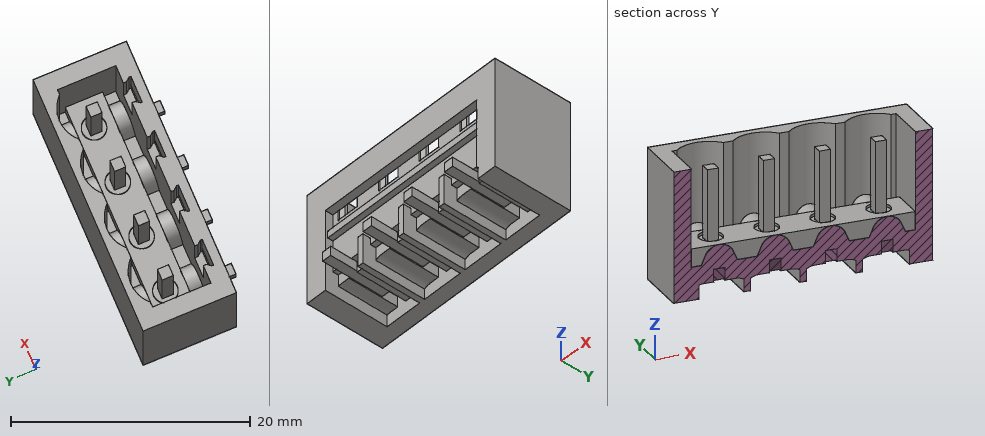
import cadquery as cq
import math


LENGTH = 23.52
DEPTH = 8.5
HEIGHT = 12.0
POSITIONS = 4
PITCH = 5.08
PIN_XS = [(i - (POSITIONS - 1) / 2) * PITCH for i in range(POSITIONS)]
RIB_XS = [(left + right) / 2 for left, right in zip(PIN_XS, PIN_XS[1:])]

CAVITY_LENGTH = POSITIONS * PITCH
CAVITY_FRONT = 1.65
CAVITY_BACK = 6.95
TROUGH_FLOOR = 3.05
LEDGE_TOP = 4.7
LEDGE_FRONT = 2.85
LEDGE_BACK = 6.23
SCALLOP_BACK = 7.83
SCALLOP_HALF_CHORD = 2.1
BUMP_HALF_BASE = 1.65
BUMP_HALF_ARC = 1.27
BUMP_RADIUS = 1.4
COLLAR_DIAMETER = 2.15
COLLAR_DEPTH = 0.24

DOVETAIL_BOTTOM = 7.83
NECK_HALF_WIDTH = 0.92
TAIL_HALF_WIDTH = 1.2
NECK_BACK = 1.36
TAIL_BACK = 1.0

WINDOW_HALF_WIDTH = 9.45
WINDOW_TOP = 8.85
WINDOW_DEPTH = 0.85
SKIRT_BOTTOM = 2.55
LOWER_WINDOW_DEPTH = 1.45
BAR_BOTTOM = 5.95
BAR_TOP = 6.7
BAR_FRONT = 0.25

RIB_WIDTH = 0.6
RIB_TOP = 3.25
BAY_TOP = 1.35
BAY_HALF_FLAT = 1.48
BAY_ROUND = 1.53
BAYS_LEFT = -WINDOW_HALF_WIDTH
BAYS_RIGHT = 9.62

PIN_SIZE = 1.0
PIN_Y = 4.7
PIN_TOP = 11.03
LEG_BOTTOM = 1.48
LEG_REACH = 1.5
LEG_TOP = LEG_BOTTOM + PIN_SIZE


def block(x0, x1, y0, y1, z0, z1):
    """Box given by its limits on each axis."""
    return cq.Workplane("XY").box(x1 - x0, y1 - y0, z1 - z0, centered=False).translate((x0, y0, z0))


def centred_block(x, width, y0, y1, z0, z1):
    """Box centred on x, given by its limits in Y and Z."""
    return block(x - width / 2, x + width / 2, y0, y1, z0, z1)


def along_y(x, y0):
    """XZ sketch plane at y0 with its origin at x; extruding by a negative length goes to +Y."""
    return cq.Workplane("XZ", origin=(x, y0, 0))


def scallop(x):
    """Round bay in the back wall, from the trough floor to the top."""
    sagitta = SCALLOP_BACK - CAVITY_BACK
    radius = (SCALLOP_HALF_CHORD**2 + sagitta**2) / (2 * sagitta)
    full_round = (
        cq.Workplane("XY", origin=(x, SCALLOP_BACK - radius, TROUGH_FLOOR))
        .circle(radius)
        .extrude(HEIGHT - TROUGH_FLOOR)
    )
    behind_wall = centred_block(x, 2 * radius, CAVITY_BACK, DEPTH, TROUGH_FLOOR, HEIGHT)
    return full_round.intersect(behind_wall)


def floor_bump(x):
    """Round-topped bump with straight flanks, running from front to back."""
    arc_angle = math.asin(BUMP_HALF_ARC / BUMP_RADIUS)
    arc_end = LEDGE_TOP - BUMP_RADIUS * (1 - math.cos(arc_angle))
    return (
        along_y(x, CAVITY_FRONT)
        .moveTo(-BUMP_HALF_BASE, TROUGH_FLOOR)
        .lineTo(-BUMP_HALF_ARC, arc_end)
        .threePointArc((0, LEDGE_TOP), (BUMP_HALF_ARC, arc_end))
        .lineTo(BUMP_HALF_BASE, TROUGH_FLOOR)
        .close()
        .extrude(CAVITY_FRONT - SCALLOP_BACK)
    )


def cavity():
    """Space for the plug: scalloped at the back, with a raised ledge and bumps left on its floor."""
    space = centred_block(0, CAVITY_LENGTH, CAVITY_FRONT, CAVITY_BACK, TROUGH_FLOOR, HEIGHT)
    for x in PIN_XS:
        space = space.union(scallop(x))
    for x in PIN_XS:
        space = space.cut(floor_bump(x))
    return space.cut(centred_block(0, CAVITY_LENGTH, LEDGE_FRONT, LEDGE_BACK, TROUGH_FLOOR, LEDGE_TOP))


def dovetail_groove(x):
    """Groove that widens from the cavity toward the front face."""
    return (
        cq.Workplane("XY", origin=(x, 0, DOVETAIL_BOTTOM))
        .polyline([
            (-NECK_HALF_WIDTH, CAVITY_FRONT),
            (-NECK_HALF_WIDTH, NECK_BACK),
            (-TAIL_HALF_WIDTH, TAIL_BACK),
            (-TAIL_HALF_WIDTH, WINDOW_DEPTH),
            (TAIL_HALF_WIDTH, WINDOW_DEPTH),
            (TAIL_HALF_WIDTH, TAIL_BACK),
            (NECK_HALF_WIDTH, NECK_BACK),
            (NECK_HALF_WIDTH, CAVITY_FRONT),
        ])
        .close()
        .extrude(HEIGHT - DOVETAIL_BOTTOM)
    )


def front_window():
    """Stepped recess in the front face, with a bar and the rib fronts left standing in it."""
    width = 2 * WINDOW_HALF_WIDTH
    recess = centred_block(0, width, 0, WINDOW_DEPTH, 0, WINDOW_TOP)
    recess = recess.union(centred_block(0, width, 0, LOWER_WINDOW_DEPTH, 0, SKIRT_BOTTOM))
    recess = recess.cut(centred_block(0, width, BAR_FRONT, WINDOW_DEPTH, BAR_BOTTOM, BAR_TOP))
    for x in RIB_XS:
        recess = recess.cut(centred_block(x, RIB_WIDTH, 0, LOWER_WINDOW_DEPTH, 0, RIB_TOP))
    return recess


def underside_bay(x):
    """Bay open at the bottom and front, its ceiling rounded down toward the ribs."""
    half_width = (PITCH - RIB_WIDTH) / 2
    drop = BAY_ROUND - math.sqrt(BAY_ROUND**2 - (half_width - BAY_HALF_FLAT) ** 2)
    shoulder = BAY_TOP - drop
    bay = (
        along_y(x, 0)
        .moveTo(-half_width, 0)
        .lineTo(-half_width, shoulder)
        .radiusArc((-BAY_HALF_FLAT, BAY_TOP), BAY_ROUND)
        .lineTo(BAY_HALF_FLAT, BAY_TOP)
        .radiusArc((half_width, shoulder), BAY_ROUND)
        .lineTo(half_width, 0)
        .close()
        .extrude(-CAVITY_BACK)
    )
    return bay.intersect(block(BAYS_LEFT, BAYS_RIGHT, 0, CAVITY_BACK, 0, BAY_TOP))


def pin_passage(x):
    """Square hole for the upright of a pin, and a slot for its leg, open below and run to the back wall."""
    upright = centred_block(x, PIN_SIZE, PIN_Y - PIN_SIZE / 2, PIN_Y + PIN_SIZE / 2, 0, LEDGE_TOP)
    leg_slot = centred_block(x, PIN_SIZE, 0, CAVITY_BACK, 0, LEG_TOP)
    return upright.union(leg_slot)


def collar_recess(x):
    """Shallow round recess in the ledge about a pin."""
    return (
        cq.Workplane("XY", origin=(x, PIN_Y, LEDGE_TOP - COLLAR_DEPTH))
        .circle(COLLAR_DIAMETER / 2)
        .extrude(COLLAR_DEPTH)
    )


def make_housing():
    body = centred_block(0, LENGTH, 0, DEPTH, 0, HEIGHT)
    body = body.cut(cavity()).cut(front_window())
    for x in PIN_XS:
        body = body.cut(dovetail_groove(x))
        body = body.cut(underside_bay(x))
        body = body.cut(pin_passage(x))
        body = body.cut(collar_recess(x))
    return body


def make_pin(x):
    """L-shaped square pin: an upright in the cavity and a leg out of the front."""
    back = PIN_Y + PIN_SIZE / 2
    upright = centred_block(x, PIN_SIZE, back - PIN_SIZE, back, LEG_BOTTOM, PIN_TOP)
    leg = centred_block(x, PIN_SIZE, -LEG_REACH, back, LEG_BOTTOM, LEG_TOP)
    return upright.union(leg)


housing = make_housing()
pins = [make_pin(x) for x in PIN_XS]

result = cq.Compound.makeCompound([housing.val(), *[pin.val() for pin in pins]])